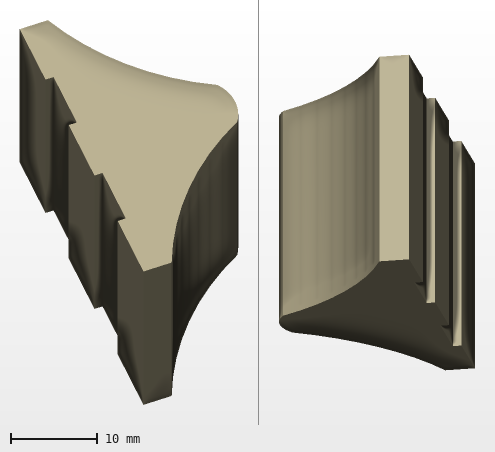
import cadquery as cq
import math

width = 38.1
depth = width / 2
height = 25.0
end_thickness = 3.5
crest_radius = 5.0
crest_left_x = -3.0
crest_right_x = 2.85
flank_radius = 33.0
land_width = 7.94
land_count = 3
groove_depth = 1.0

half_width = width / 2
groove_count = land_count - 1
groove_width = (width - land_count * land_width) / groove_count
groove_pitch = land_width + groove_width


def crest_point(x):
    """Point of the crest arc at the given X."""
    crest_centre_y = depth - crest_radius
    return x, crest_centre_y + math.sqrt(crest_radius**2 - x**2)


def make_body():
    """Wedge with concave flanks and a slightly lopsided rounded crest, extruded along Z."""
    crest_left = crest_point(crest_left_x)
    crest_right = crest_point(crest_right_x)
    crest_top = (0, depth)
    return (
        cq.Workplane("XY")
        .moveTo(-half_width, 0)
        .lineTo(half_width, 0)
        .lineTo(half_width, end_thickness)
        .radiusArc(crest_right, flank_radius)
        .threePointArc(crest_top, crest_left)
        .radiusArc((-half_width, end_thickness), flank_radius)
        .close()
        .extrude(height)
    )


def cut_grooves(body):
    """Cut the full-height rectangular grooves into the back face."""
    for index in range(groove_count):
        groove_start = -half_width + land_width + index * groove_pitch
        groove = cq.Workplane("XY").box(groove_width, groove_depth, height, centered=False)
        body = body.cut(groove.translate((groove_start, 0, 0)))
    return body


result = cut_grooves(make_body())